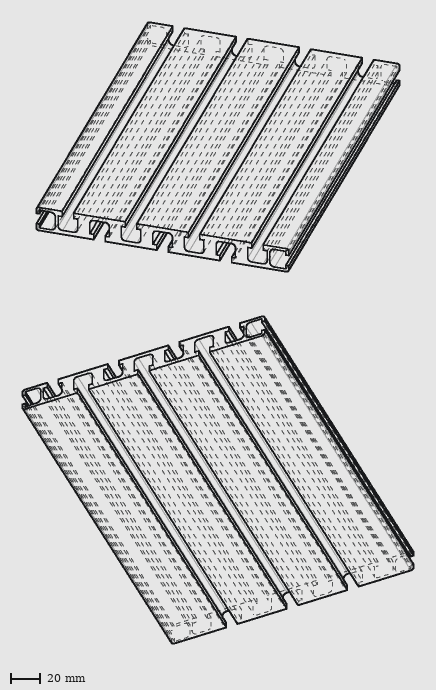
import cadquery as cq

WIDTH = 180.0
LENGTH = 250.0
HEIGHT = 18.5
CORNER_RADIUS = 2.0

SLOT_PITCH = 45.0
SLOT_OPENING = 8.25
SLOT_INNER_WIDTH = 13.8
SLOT_LIP = 4.25
SLOT_FLOOR = 3.25
SLOT_RADIUS = 2.9
TOP_SLOT_COUNT = 4
BOTTOM_SLOT_COUNT = 3

EDGE_OPENING = 8.2
EDGE_INNER_HEIGHT = 14.0
EDGE_LIP = 2.2
EDGE_DEPTH = 13.6
EDGE_RADIUS = 3.3

OVERCUT = 1.0


def make_plate():
    """Solid bar along Y with its four long edges rounded."""
    return cq.Workplane("XY").box(WIDTH, LENGTH, HEIGHT).edges("|Y").fillet(CORNER_RADIUS)


def make_slot(opening, inner_width, lip, depth, radius):
    """T-slot along Y: mouth at Z = 0, cut downwards, the two floor edges rounded."""
    neck_height = lip + OVERCUT
    neck = cq.Workplane("XY").box(opening, LENGTH, neck_height, centered=(True, True, False))
    neck = neck.translate((0, 0, -lip))
    chamber = cq.Workplane("XY").box(inner_width, LENGTH, depth - lip, centered=(True, True, False))
    chamber = chamber.edges("|Y and <Z").fillet(radius)
    chamber = chamber.translate((0, 0, -depth))
    return chamber.union(neck)


def slot_centres(count):
    """X positions of slots spaced evenly about the middle of the plate."""
    return [(i - (count - 1) / 2) * SLOT_PITCH for i in range(count)]


def turn(slot, angle):
    """Rotate a slot about the Y axis."""
    return slot.rotate((0, 0, 0), (0, 1, 0), angle)


face_slot = make_slot(SLOT_OPENING, SLOT_INNER_WIDTH, SLOT_LIP, HEIGHT - SLOT_FLOOR, SLOT_RADIUS)
edge_slot = make_slot(EDGE_OPENING, EDGE_INNER_HEIGHT, EDGE_LIP, EDGE_DEPTH, EDGE_RADIUS)

result = make_plate()

for x in slot_centres(TOP_SLOT_COUNT):
    result = result.cut(face_slot.translate((x, 0, HEIGHT / 2)))

for x in slot_centres(BOTTOM_SLOT_COUNT):
    result = result.cut(turn(face_slot, 180).translate((x, 0, -HEIGHT / 2)))

for side in (-1, 1):
    result = result.cut(turn(edge_slot, side * 90).translate((side * WIDTH / 2, 0, 0)))